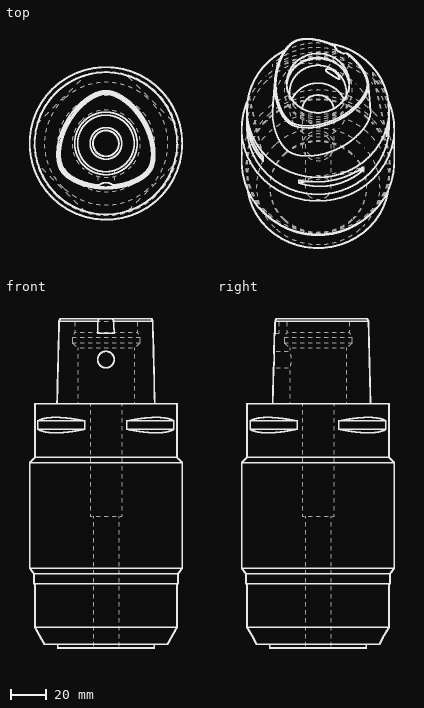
import cadquery as cq
import math

TOTAL_HEIGHT = 185.4
NOSE_HEIGHT = 2.0
NOSE_CONE_TOP = 11.7
BAND_BOTTOM = 36.2
BAND_TOP = 41.7
BODY_BOTTOM = 45.0
BODY_TOP = 104.4
COLLAR_BOTTOM = 107.3
SHANK_BASE = 137.5

BODY_RADIUS = 43.0
COLLAR_RADIUS = 40.0
BAND_RADIUS = 40.6
NOSE_CONE_RADIUS = 34.7
NOSE_RADIUS = 27.3

SHANK_BASE_RADIUS = 27.6
LOBE_HEIGHT = 2.0
TAPER_RATIO = 1 / 20
RIM_HEIGHT = 1.3
RIM_INSET = 0.7
SHANK_HEIGHT = TOTAL_HEIGHT - SHANK_BASE
LOBE_STEPS = 72

MOUTH_RADIUS = 17.6
MOUTH_DEPTH = 7.6
GROOVE_RADIUS = 19.1
GROOVE_TOP_DEPTH = 10.5
GROOVE_BOTTOM_DEPTH = 13.5
BORE_RADIUS = 16.0
BORE_START_DEPTH = 16.3
BORE_DEPTH = SHANK_HEIGHT
THROUGH_RADIUS = 7.2
LEDGE_RADIUS = 8.9
LEDGE_DEPTH = 111.2

NOTCH_RADIUS = 5.7
NOTCH_INNER_Y = -22.0
NOTCH_DEPTH = 8.2
SIDE_HOLE_RADIUS = 4.6
SIDE_HOLE_DROP = 23.0
SIDE_HOLE_INNER_Y = -BORE_RADIUS / 2

GRIP_FLOOR_OFFSET = 35.5
GRIP_CENTER_Z = 125.5
GRIP_FLOOR_HEIGHT = 4.6
GRIP_MOUTH_HEIGHT = 8.7
GRIP_COUNT = 4
GRIP_FIRST_ANGLE = 45


def turned_body():
    """Collar, main body, band and nose as one revolved profile."""
    profile = [
        (0, 0),
        (NOSE_RADIUS, 0),
        (NOSE_RADIUS, NOSE_HEIGHT),
        (NOSE_CONE_RADIUS, NOSE_HEIGHT),
        (COLLAR_RADIUS, NOSE_CONE_TOP),
        (COLLAR_RADIUS, BAND_BOTTOM),
        (BAND_RADIUS, BAND_BOTTOM),
        (BAND_RADIUS, BAND_TOP),
        (BODY_RADIUS, BODY_BOTTOM),
        (BODY_RADIUS, BODY_TOP),
        (COLLAR_RADIUS, COLLAR_BOTTOM),
        (COLLAR_RADIUS, SHANK_BASE),
        (0, SHANK_BASE),
    ]
    return revolve_profile(profile)


def revolve_profile(profile):
    """Revolve (radius, height) points about the Z axis."""
    return cq.Workplane("XZ").polyline(profile).close().revolve(360, (0, 0), (0, 1))


def lobed_wire(mean_radius, z):
    """Closed constant-width curve with three lobes, one pointing along +Y."""

    def point(angle):
        along = (
            mean_radius * math.cos(angle)
            + 2 * LOBE_HEIGHT * math.cos(2 * angle)
            - LOBE_HEIGHT * math.cos(4 * angle)
        )
        across = (
            mean_radius * math.sin(angle)
            - 2 * LOBE_HEIGHT * math.sin(2 * angle)
            - LOBE_HEIGHT * math.sin(4 * angle)
        )
        return cq.Vector(-across, along, z)

    points = [point(math.pi + 2 * math.pi * i / LOBE_STEPS) for i in range(LOBE_STEPS)]
    return cq.Wire.assembleEdges([cq.Edge.makeSpline(points, periodic=True)])


def shank():
    """Tapered lobed shank with a chamfered top rim."""
    rim_z = TOTAL_HEIGHT - RIM_HEIGHT
    rim_radius = SHANK_BASE_RADIUS - (rim_z - SHANK_BASE) * TAPER_RATIO / 2
    base = lobed_wire(SHANK_BASE_RADIUS, SHANK_BASE)
    rim = lobed_wire(rim_radius, rim_z)
    top = lobed_wire(rim_radius - RIM_INSET, TOTAL_HEIGHT)
    taper = cq.Solid.makeLoft([base, rim], True)
    chamfer = cq.Solid.makeLoft([rim, top], True)
    return cq.Workplane(taper).union(cq.Workplane(chamfer))


def central_bore():
    """Stepped bore with an internal groove, running through the whole part."""
    steps = [
        (0, 0),
        (MOUTH_RADIUS, 0),
        (MOUTH_RADIUS, MOUTH_DEPTH),
        (GROOVE_RADIUS, GROOVE_TOP_DEPTH),
        (GROOVE_RADIUS, GROOVE_BOTTOM_DEPTH),
        (BORE_RADIUS, BORE_START_DEPTH),
        (BORE_RADIUS, BORE_DEPTH),
        (LEDGE_RADIUS, BORE_DEPTH),
        (LEDGE_RADIUS, LEDGE_DEPTH),
        (THROUGH_RADIUS, LEDGE_DEPTH),
        (THROUGH_RADIUS, TOTAL_HEIGHT),
        (0, TOTAL_HEIGHT),
    ]
    return revolve_profile([(radius, TOTAL_HEIGHT - depth) for radius, depth in steps])


def key_notch():
    """Rounded notch in the top rim."""
    return (
        cq.Workplane("XY", origin=(0, NOTCH_INNER_Y - NOTCH_RADIUS, TOTAL_HEIGHT))
        .circle(NOTCH_RADIUS)
        .extrude(-NOTCH_DEPTH)
    )


def side_hole():
    """Round hole from -Y through the shank wall into the bore."""
    return (
        cq.Workplane("XZ", origin=(0, SIDE_HOLE_INNER_Y, TOTAL_HEIGHT - SIDE_HOLE_DROP))
        .circle(SIDE_HOLE_RADIUS)
        .extrude(BODY_RADIUS)
    )


def grip_groove(angle):
    """Flat-bottomed groove with flared sides, cut across the collar."""
    slope = (GRIP_MOUTH_HEIGHT - GRIP_FLOOR_HEIGHT) / 2 / (COLLAR_RADIUS - GRIP_FLOOR_OFFSET)
    floor_half = GRIP_FLOOR_HEIGHT / 2
    outer_half = floor_half + slope * (BODY_RADIUS - GRIP_FLOOR_OFFSET)
    section = [
        (GRIP_FLOOR_OFFSET, -floor_half),
        (BODY_RADIUS, -outer_half),
        (BODY_RADIUS, outer_half),
        (GRIP_FLOOR_OFFSET, floor_half),
    ]
    return (
        cq.Workplane("XZ", origin=(0, 0, GRIP_CENTER_Z))
        .polyline(section)
        .close()
        .extrude(BODY_RADIUS, both=True)
        .rotate((0, 0, 0), (0, 0, 1), angle)
    )


result = turned_body().union(shank())
result = result.cut(central_bore()).cut(key_notch()).cut(side_hole())
for index in range(GRIP_COUNT):
    result = result.cut(grip_groove(GRIP_FIRST_ANGLE + index * 360 / GRIP_COUNT))